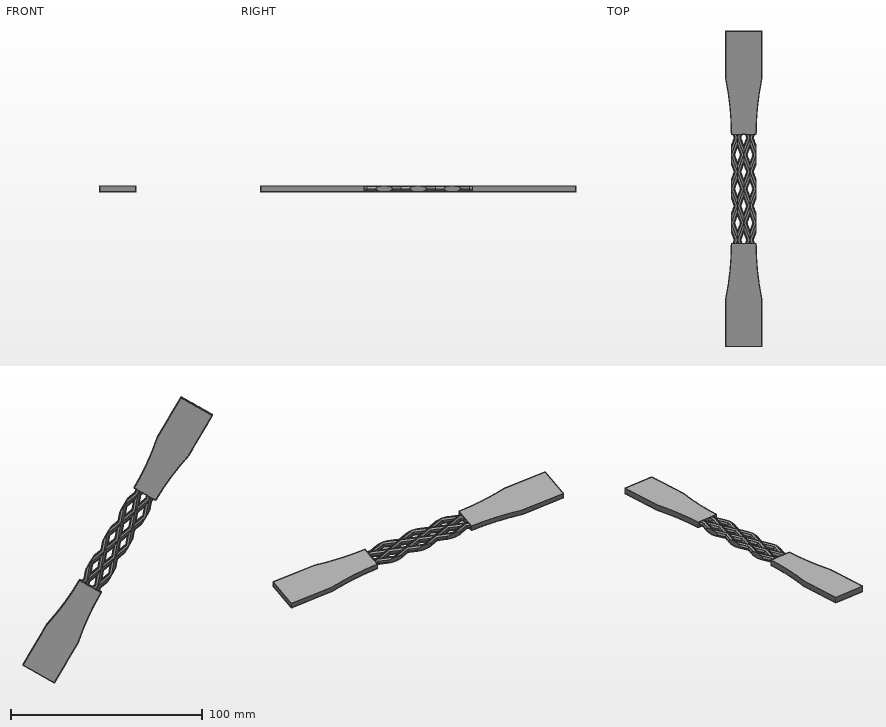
import cadquery as cq
import math

length = 165.0
half_thickness = 1.6
grip_width = 19.0
neck_width = 13.0
grip_length = 24.9
gauge_length = 57.0
shoulder_facets = 4

cell_columns = 2
node_spacing_x = neck_width / cell_columns / 2
node_spacing_y = 8.9
strut_sides = 8
strut_diameter = 2 * half_thickness

end_row = math.ceil(gauge_length / 2 / node_spacing_y)


def shoulder_points():
    """Corners of the +X shoulder, from the gauge end out to the grip.

    They lie on an arc that starts parallel to Y at the gauge end.
    """
    rise = (grip_width - neck_width) / 2
    run = (length - gauge_length) / 2 - grip_length
    radius = (run**2 + rise**2) / (2 * rise)
    facet_angle = math.asin(run / radius) / shoulder_facets
    points = []
    for i in range(shoulder_facets + 1):
        angle = i * facet_angle
        x = neck_width / 2 + radius * (1 - math.cos(angle))
        y = gauge_length / 2 + radius * math.sin(angle)
        points.append((x, y))
    return points


def paddle():
    """Solid +Y end: the grip and its two faceted shoulders."""
    right_side = shoulder_points() + [(grip_width / 2, length / 2)]
    left_side = [(-x, y) for x, y in reversed(right_side)]
    outline = cq.Workplane("XY").polyline(right_side + left_side).close()
    return outline.extrude(half_thickness, both=True)


def strut(start_column, direction):
    """Octagonal bar from a node on the lowest row, leaning to +X (1) or -X (-1).

    Corners of the octagon touch the top and bottom planes of the bar.
    """
    lean_x = direction * node_spacing_x
    start = (start_column * node_spacing_x, -end_row * node_spacing_y, 0)
    section = cq.Plane(
        origin=start,
        xDir=(node_spacing_y, -lean_x, 0),
        normal=(lean_x, node_spacing_y, 0),
    )
    strut_length = 2 * end_row * math.hypot(lean_x, node_spacing_y)
    return cq.Workplane(section).polygon(strut_sides, strut_diameter).extrude(strut_length)


def lattice():
    """Both families of parallel struts, trimmed to the gauge section."""
    envelope = cq.Workplane("XY").box(neck_width, gauge_length, 4 * half_thickness)
    last_column = cell_columns + 2 * end_row
    pieces = []
    for column in range(-last_column, last_column + 1, 2):
        for direction in (1, -1):
            piece = strut(column, direction).intersect(envelope)
            if piece.solids().size() > 0:
                pieces.append(piece)
    joined = pieces[0]
    for piece in pieces[1:]:
        joined = joined.union(piece)
    return joined


upper_paddle = paddle()
lower_paddle = upper_paddle.mirror("XZ")
result = upper_paddle.union(lattice()).union(lower_paddle)